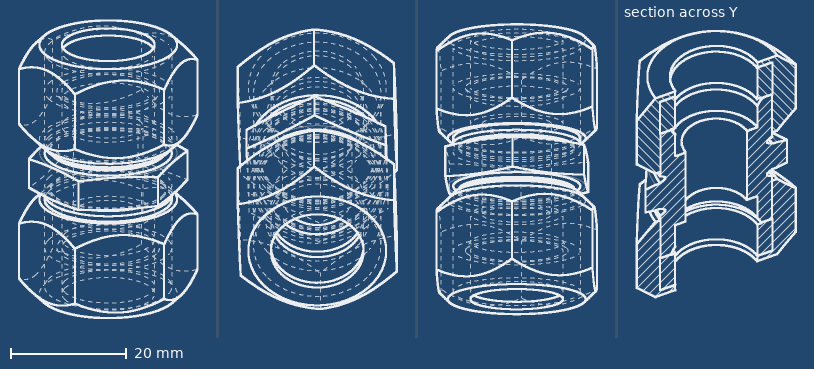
import cadquery as cq
import math

overall_length = 46.0
nut_across_flats = 27.0
nut_length = 17.5
nut_face_radius = 11.9
tube_radius = 8.0
nut_lip_thickness = 1.35
ring_length = 7.2
thread_radius = 11.0
bore_radius = 6.0
tube_stop_z = 8.0
mouth_depth = 1.5
mouth_angle = 30.0
hex_across_flats = 24.0
hex_face_radius = 11.85
hex_half_height = 3.0
hex_chamfer_angle = 10.0
relief_radius = 10.0
relief_floor_width = 0.35
relief_angle = 30.0

end_z = overall_length / 2
nut_inner_z = end_z - nut_length
ring_outer_z = end_z - nut_lip_thickness
ring_inner_z = ring_outer_z - ring_length
mouth_radius = tube_radius + mouth_depth * math.tan(math.radians(mouth_angle))
relief_side_rise = (thread_radius - relief_radius) * math.tan(math.radians(relief_angle))
relief_inner_z = hex_half_height + relief_side_rise
relief_outer_z = relief_inner_z + relief_floor_width


def corner_radius(across_flats):
    """Distance from the axis to a corner of a regular hexagon."""
    return across_flats / math.sqrt(3)


def hexagon(across_flats, bottom_z, height):
    """Hexagonal prism on the Z axis with corners on the X axis."""
    prism = cq.Workplane("XY").workplane(offset=bottom_z)
    return prism.polygon(6, 2 * corner_radius(across_flats)).extrude(height)


def cylinder(radius, bottom_z, top_z):
    return cq.Workplane("XY").workplane(offset=bottom_z).circle(radius).extrude(top_z - bottom_z)


def turned(profile):
    """Solid of revolution about Z from (radius, z) points."""
    return cq.Workplane("XZ").polyline(profile).close().revolve(360, (0, 0, 0), (0, 1, 0))


def make_body():
    """Central hexagon with a threaded stud, tube socket and conical mouth on each side."""
    hex_corner = corner_radius(hex_across_flats)
    chamfer_drop = (hex_corner - hex_face_radius) * math.tan(math.radians(hex_chamfer_angle))
    upper_profile = [
        (hex_corner, hex_half_height - chamfer_drop),
        (hex_face_radius, hex_half_height),
        (thread_radius, hex_half_height),
        (relief_radius, relief_inner_z),
        (relief_radius, relief_outer_z),
        (thread_radius, relief_outer_z + relief_side_rise),
        (thread_radius, ring_inner_z),
        (mouth_radius, ring_inner_z),
        (tube_radius, ring_inner_z - mouth_depth),
        (tube_radius, tube_stop_z),
        (bore_radius, tube_stop_z),
    ]
    lower_profile = [(radius, -z) for radius, z in reversed(upper_profile)]
    envelope = turned(upper_profile + lower_profile)
    flats = hexagon(hex_across_flats, -ring_inner_z, 2 * ring_inner_z)
    return envelope.intersect(flats)


def make_nut():
    """Upper union nut: hexagon with 45 degree chamfers, threaded cavity and end lip."""
    nut_corner = corner_radius(nut_across_flats)
    chamfer = nut_corner - nut_face_radius
    envelope = turned([
        (0, nut_inner_z),
        (nut_face_radius, nut_inner_z),
        (nut_corner, nut_inner_z + chamfer),
        (nut_corner, end_z - chamfer),
        (nut_face_radius, end_z),
        (0, end_z),
    ])
    nut = hexagon(nut_across_flats, nut_inner_z, nut_length).intersect(envelope)
    nut = nut.cut(cylinder(thread_radius, nut_inner_z, ring_outer_z))
    return nut.cut(cylinder(tube_radius, ring_outer_z, end_z))


def make_ring():
    """Upper sealing ring, held between the stud end and the nut lip."""
    ring = cylinder(thread_radius, ring_inner_z, ring_outer_z)
    return ring.cut(cylinder(tube_radius, ring_inner_z, ring_outer_z))


def flipped(solid):
    """Copy of an upper part turned over to the lower end."""
    return solid.rotate((0, 0, 0), (1, 0, 0), 180)


body = make_body()
nuts = []
rings = []
for upper_part, copies in ((make_nut(), nuts), (make_ring(), rings)):
    copies.append(upper_part.val())
    copies.append(flipped(upper_part).val())

result = cq.Compound.makeCompound([body.val(), *nuts, *rings])